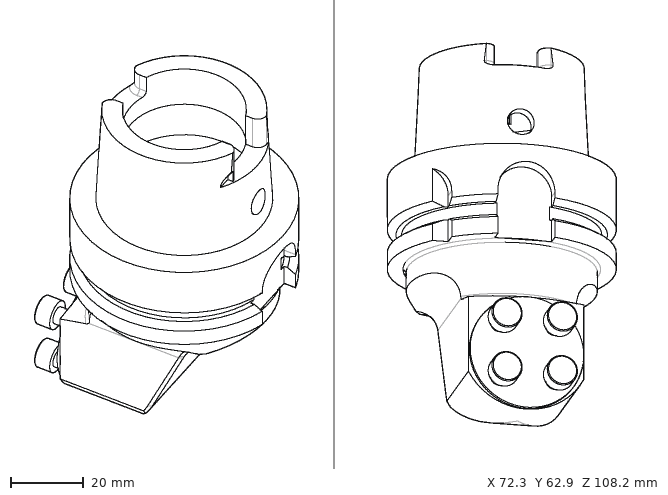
import cadquery as cq
import math


OVERALL_HEIGHT = 108.2
OVERALL_LENGTH_X = 72.29

SHANK_LENGTH = 32.0
SHANK_BASE_DIAMETER = 48.6
SHANK_TAPER = 9.98
SHANK_TOP_DIAMETER = SHANK_BASE_DIAMETER - SHANK_LENGTH / SHANK_TAPER

MOUTH_DIAMETER = 34.05
MOUTH_DEPTH = 12.7
CHAMBER_DIAMETER = 40.08
CHAMBER_END_Z = 5.7
CLAMPING_SHOULDER_ANGLE = 30.0
LOWER_CONE_ANGLE = 60.0
BORE_FLOOR_DIAMETER = 32.0
CROSS_HOLE_DIAMETER = 7.5
CROSS_HOLE_Z = 9.0

DRIVE_SLOT_WIDTH = 12.54
DRIVE_SLOT_FLAT_X = 20.8
DRIVE_SLOT_CORNER_RADIUS = 2.8
DRIVE_SLOT_FLOOR_FILLET = 1.4
SHALLOW_SLOT_DEPTH = 6.4
DEEP_SLOT_DEPTH = 10.3
RELIEF_RADIUS = 4.8
RELIEF_REACH_X = 19.2

FLANGE_DIAMETER = 62.94
FLANGE_THICKNESS = 26.0
GROOVE_DIAMETER = 55.0
GROOVE_Z = -17.9
GROOVE_FLOOR_WIDTH = 3.8
GROOVE_CHAMFER_HEIGHT = 1.4
GROOVE_CHAMFER_ANGLE = 30.0
KEYWAY_FLOOR_X = 26.5
KEYWAY_TOP_Z = -5.0
NARROW_KEYWAY_WIDTH = 16.0
WIDE_KEYWAY_WIDTH = 18.0
INDEX_NOTCH_FLOOR_X = 20.2
INDEX_NOTCH_WALL_Y = 19.7
INDEX_NOTCH_WIDTH = 17.0
INDEX_NOTCH_TOP_Z = -4.2

NECK_DIAMETER = 52.5
NECK_FILLET = 0.9
HEAD_WIDTH = 32.5
HEAD_FACE_X = -30.0
HEAD_BOTTOM_Z = SHANK_LENGTH - OVERALL_HEIGHT
HEAD_BOTTOM_RADIUS = 18.4
HEAD_TOP_Z = -42.7
HEAD_TOP_ANGLE = 15.0
HEAD_TOP_FILLET = 1.3
SHOULDER_RADIUS = 10.0
SHOULDER_Z = -42.4
BACK_TIP_Z = -32.7
BACK_SHALLOW_ANGLE = 12.5
BACK_STEEP_ANGLE = 24.5
BACK_CORNER_X = 11.84
BACK_CORNER_FILLET = 14.0
BACK_HEEL_RADIUS = 20.0
BACK_CHAMFER = 1.0
BACK_EDGE_X = 1.0

PAD_DIAMETER = 32.0
PAD_THICKNESS = 1.1
PAD_Z = -60.0
PAD_FACE_X = HEAD_FACE_X - PAD_THICKNESS
SCREW_CIRCLE_DIAMETER = 22.0
SCREW_SHANK_DIAMETER = 5.0
SCREW_HEAD_DIAMETER = 8.5
SCREW_HEAD_HEIGHT = 5.0
SCREW_HEAD_CHAMFER = 0.3
SCREW_TIP_X = FLANGE_DIAMETER / 2 - OVERALL_LENGTH_X

CLEARANCE = 20.0


def tan_deg(angle):
    return math.tan(math.radians(angle))


def x_cylinder(diameter, x_start, length, y, z):
    return cq.Workplane("YZ", origin=(x_start, y, z)).circle(diameter / 2).extrude(length)


def make_shank():
    return (
        cq.Workplane("XZ")
        .polyline(
            [
                (0, 0),
                (SHANK_BASE_DIAMETER / 2, 0),
                (SHANK_TOP_DIAMETER / 2, SHANK_LENGTH),
                (0, SHANK_LENGTH),
            ]
        )
        .close()
        .revolve(360, (0, 0), (0, 1))
    )


def make_bore():
    """Mouth, wider chamber with conical ends, and a flat floor with a rounded edge."""
    mouth_radius = MOUTH_DIAMETER / 2
    chamber_radius = CHAMBER_DIAMETER / 2
    floor_radius = BORE_FLOOR_DIAMETER / 2
    floor_fillet = mouth_radius - floor_radius
    chamber_depth = chamber_radius - mouth_radius
    mouth_end_z = SHANK_LENGTH - MOUTH_DEPTH
    shoulder_z = mouth_end_z - chamber_depth * tan_deg(CLAMPING_SHOULDER_ANGLE)
    lower_cone_end_z = CHAMBER_END_Z - chamber_depth * tan_deg(LOWER_CONE_ANGLE)
    floor_z = lower_cone_end_z - floor_fillet
    return (
        cq.Workplane("XZ")
        .moveTo(0, floor_z)
        .lineTo(floor_radius, floor_z)
        .radiusArc((mouth_radius, lower_cone_end_z), -floor_fillet)
        .lineTo(chamber_radius, CHAMBER_END_Z)
        .lineTo(chamber_radius, shoulder_z)
        .lineTo(mouth_radius, mouth_end_z)
        .lineTo(mouth_radius, SHANK_LENGTH)
        .lineTo(0, SHANK_LENGTH)
        .close()
        .revolve(360, (0, 0), (0, 1))
    )


def make_drive_slot(depth):
    """Slot cutter on the +X side: straight walls that round out to a flat facing outward."""
    half_width = DRIVE_SLOT_WIDTH / 2
    arc_start_x = DRIVE_SLOT_FLAT_X - DRIVE_SLOT_CORNER_RADIUS
    arc_end_y = half_width + DRIVE_SLOT_CORNER_RADIUS
    outer_x = DRIVE_SLOT_FLAT_X + CLEARANCE
    outer_y = arc_end_y + CLEARANCE
    return (
        cq.Workplane("XY", origin=(0, 0, SHANK_LENGTH - depth))
        .moveTo(0, half_width)
        .lineTo(arc_start_x, half_width)
        .radiusArc((DRIVE_SLOT_FLAT_X, arc_end_y), -DRIVE_SLOT_CORNER_RADIUS)
        .lineTo(DRIVE_SLOT_FLAT_X, outer_y)
        .lineTo(outer_x, outer_y)
        .lineTo(outer_x, -outer_y)
        .lineTo(DRIVE_SLOT_FLAT_X, -outer_y)
        .lineTo(DRIVE_SLOT_FLAT_X, -arc_end_y)
        .radiusArc((arc_start_x, -half_width), -DRIVE_SLOT_CORNER_RADIUS)
        .lineTo(0, -half_width)
        .close()
        .extrude(depth + CLEARANCE)
    )


def make_shallow_slot():
    slot = make_drive_slot(SHALLOW_SLOT_DEPTH).faces("<Z").edges().fillet(DRIVE_SLOT_FLOOR_FILLET)
    return slot.rotate((0, 0, 0), (0, 0, 1), 180)


def make_slot_relief():
    """Rounded undercut beside the deep slot, on its -Y side only, above the slot floor."""
    floor_z = SHANK_LENGTH - DEEP_SLOT_DEPTH
    start_y = DRIVE_SLOT_WIDTH / 2 + DRIVE_SLOT_CORNER_RADIUS
    center_x = RELIEF_REACH_X + RELIEF_RADIUS
    return (
        cq.Workplane("XZ", origin=(0, -start_y, 0))
        .moveTo(center_x, floor_z)
        .lineTo(RELIEF_REACH_X, floor_z)
        .radiusArc((center_x, floor_z + RELIEF_RADIUS), RELIEF_RADIUS)
        .close()
        .extrude(CLEARANCE)
    )


def make_flange():
    outer_radius = FLANGE_DIAMETER / 2
    groove_radius = GROOVE_DIAMETER / 2
    lip_radius = outer_radius - GROOVE_CHAMFER_HEIGHT / tan_deg(GROOVE_CHAMFER_ANGLE)
    groove_top = GROOVE_Z + GROOVE_FLOOR_WIDTH / 2
    groove_bottom = GROOVE_Z - GROOVE_FLOOR_WIDTH / 2
    return (
        cq.Workplane("XZ")
        .polyline(
            [
                (0, 0),
                (outer_radius, 0),
                (outer_radius, groove_top + GROOVE_CHAMFER_HEIGHT),
                (lip_radius, groove_top),
                (groove_radius, groove_top),
                (groove_radius, groove_bottom),
                (lip_radius, groove_bottom),
                (outer_radius, groove_bottom - GROOVE_CHAMFER_HEIGHT),
                (outer_radius, -FLANGE_THICKNESS),
                (0, -FLANGE_THICKNESS),
            ]
        )
        .close()
        .revolve(360, (0, 0), (0, 1))
    )


def make_keyway(floor_x, center_y, width, top_z):
    """Round-topped slot cut outward from x = floor_x and open through the flange's lower face."""
    radius = width / 2
    arch_z = top_z - radius
    outward = math.copysign(CLEARANCE, floor_x)
    return (
        cq.Workplane("YZ", origin=(floor_x, center_y, 0))
        .moveTo(-radius, -FLANGE_THICKNESS)
        .lineTo(-radius, arch_z)
        .threePointArc((0, top_z), (radius, arch_z))
        .lineTo(radius, -FLANGE_THICKNESS)
        .close()
        .extrude(outward)
    )


def make_head_envelope():
    """Turned limits of neck and head: a cylinder that spreads into a cone."""
    neck_radius = NECK_DIAMETER / 2
    outer_radius = neck_radius + CLEARANCE
    outer_z = HEAD_TOP_Z - CLEARANCE * tan_deg(HEAD_TOP_ANGLE)
    envelope = (
        cq.Workplane("XZ")
        .polyline(
            [
                (0, -FLANGE_THICKNESS),
                (neck_radius, -FLANGE_THICKNESS),
                (neck_radius, HEAD_TOP_Z),
                (outer_radius, outer_z),
                (outer_radius, HEAD_BOTTOM_Z),
                (0, HEAD_BOTTOM_Z),
            ]
        )
        .close()
        .revolve(360, (0, 0), (0, 1))
    )
    corner = cq.selectors.NearestToPointSelector((0, 0, HEAD_TOP_Z))
    return envelope.edges(corner).fillet(HEAD_TOP_FILLET)


def make_head_front_profile():
    """Head and neck as bounded along X: flat front face, sloping underside and rounded heel."""
    corner_z = BACK_TIP_Z - (NECK_DIAMETER / 2 - BACK_CORNER_X) * tan_deg(BACK_SHALLOW_ANGLE)
    heel_x = BACK_CORNER_X - (corner_z - HEAD_BOTTOM_Z) * tan_deg(BACK_STEEP_ANGLE)
    outer_x = NECK_DIAMETER / 2 + CLEARANCE
    outer_z = BACK_TIP_Z + CLEARANCE * tan_deg(BACK_SHALLOW_ANGLE)
    blank = (
        cq.Workplane("XZ")
        .polyline(
            [
                (HEAD_FACE_X, -FLANGE_THICKNESS),
                (HEAD_FACE_X, HEAD_BOTTOM_Z),
                (heel_x, HEAD_BOTTOM_Z),
                (BACK_CORNER_X, corner_z),
                (outer_x, outer_z),
                (outer_x, -FLANGE_THICKNESS),
            ]
        )
        .close()
        .extrude(NECK_DIAMETER, both=True)
    )
    heel_edge = cq.selectors.NearestToPointSelector((heel_x, 0, HEAD_BOTTOM_Z))
    blank = blank.edges(heel_edge).fillet(BACK_HEEL_RADIUS)
    corner_edge = cq.selectors.NearestToPointSelector((BACK_CORNER_X, 0, corner_z))
    return blank.edges(corner_edge).fillet(BACK_CORNER_FILLET)


def make_head_side_profile():
    """Head and neck as bounded along Y: flat sides, concave shoulders and a round bottom."""
    half_width = HEAD_WIDTH / 2
    neck_radius = NECK_DIAMETER / 2
    shoulder_top = SHOULDER_Z + SHOULDER_RADIUS
    bottom_center_z = HEAD_BOTTOM_Z + HEAD_BOTTOM_RADIUS
    side_end_z = bottom_center_z - math.sqrt(HEAD_BOTTOM_RADIUS**2 - half_width**2)
    return (
        cq.Workplane("YZ")
        .moveTo(-neck_radius, -FLANGE_THICKNESS)
        .lineTo(-neck_radius, shoulder_top)
        .radiusArc((-half_width, SHOULDER_Z), SHOULDER_RADIUS)
        .lineTo(-half_width, side_end_z)
        .threePointArc((0, HEAD_BOTTOM_Z), (half_width, side_end_z))
        .lineTo(half_width, SHOULDER_Z)
        .radiusArc((neck_radius, shoulder_top), SHOULDER_RADIUS)
        .lineTo(neck_radius, -FLANGE_THICKNESS)
        .close()
        .extrude(2 * NECK_DIAMETER, both=True)
    )


def make_head():
    """Space common to the three outlines, with the long edges of the sloping back chamfered."""
    head = make_head_front_profile().intersect(make_head_side_profile()).intersect(make_head_envelope())
    for side in (-1, 1):
        back_edge = cq.selectors.NearestToPointSelector((BACK_EDGE_X, side * HEAD_WIDTH / 2, PAD_Z))
        head = head.edges(back_edge).chamfer(BACK_CHAMFER)
    return head


def make_neck_fillet():
    """Ring with a concave quarter-round section where the neck meets the flange."""
    neck_radius = NECK_DIAMETER / 2
    return (
        cq.Workplane("XZ")
        .moveTo(0, -FLANGE_THICKNESS)
        .lineTo(neck_radius + NECK_FILLET, -FLANGE_THICKNESS)
        .radiusArc((neck_radius, -FLANGE_THICKNESS - NECK_FILLET), -NECK_FILLET)
        .lineTo(0, -FLANGE_THICKNESS - NECK_FILLET)
        .close()
        .revolve(360, (0, 0), (0, 1))
    )


def make_screw(y, z):
    shank = x_cylinder(SCREW_SHANK_DIAMETER, SCREW_TIP_X, HEAD_FACE_X - SCREW_TIP_X, y, z)
    head = x_cylinder(SCREW_HEAD_DIAMETER, SCREW_TIP_X, SCREW_HEAD_HEIGHT, y, z)
    return shank.union(head.faces("<X").edges().chamfer(SCREW_HEAD_CHAMFER))


def make_screws():
    """Four screws on a square pattern around the pad's center."""
    offset = SCREW_CIRCLE_DIAMETER / 2 * math.sqrt(0.5)
    screws = cq.Workplane("XY")
    for y_side in (-1, 1):
        for z_side in (-1, 1):
            screws = screws.add(make_screw(y_side * offset, PAD_Z + z_side * offset))
    return screws.combine()


cross_hole = x_cylinder(CROSS_HOLE_DIAMETER, -FLANGE_DIAMETER / 2, FLANGE_DIAMETER, 0, CROSS_HOLE_Z)
index_notch_y = INDEX_NOTCH_WALL_Y + INDEX_NOTCH_WIDTH / 2
pad = x_cylinder(PAD_DIAMETER, PAD_FACE_X, PAD_THICKNESS, 0, PAD_Z)

result = make_shank().union(make_flange())
result = result.cut(make_bore())
result = result.cut(cross_hole)
result = result.cut(make_shallow_slot())
result = result.cut(make_drive_slot(DEEP_SLOT_DEPTH))
result = result.cut(make_slot_relief())

result = result.union(make_neck_fillet())
result = result.cut(make_keyway(-KEYWAY_FLOOR_X, 0, NARROW_KEYWAY_WIDTH, KEYWAY_TOP_Z))
result = result.cut(make_keyway(KEYWAY_FLOOR_X, 0, WIDE_KEYWAY_WIDTH, KEYWAY_TOP_Z))
result = result.cut(make_keyway(-INDEX_NOTCH_FLOOR_X, index_notch_y, INDEX_NOTCH_WIDTH, INDEX_NOTCH_TOP_Z))

result = result.union(make_head())
result = result.union(pad)
result = result.union(make_screws())